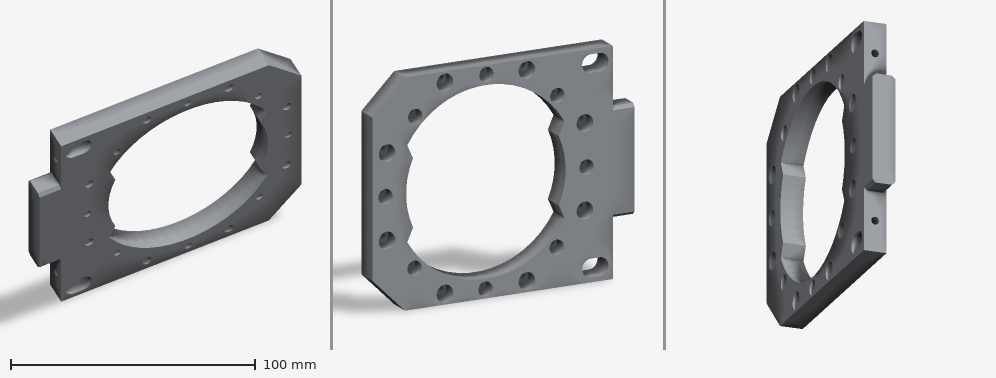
import cadquery as cq
import math

thickness = 10.0
plate_height = 100.0
overall_length = 120.0
tab_length = 10.0
chamfered_end_y = 52.0
corner_chamfer = 15.0

tab_height = 47.6
tab_edge_chamfer = 1.5

bore_radius = 41.5
pad_radius = 36.5
pad_root_half_angle = 30.0
pad_tip_half_angle = 24.0

holes_per_ring = 8
counterbore_depth = 6.0
large_ring_radius = 49.0
large_ring_start = 22.5
large_hole_diameter = 4.1
large_counterbore_diameter = 7.5
small_ring_radius = 46.0
small_ring_start = 0.25
small_hole_diameter = 3.2
small_counterbore_diameter = 6.5

slot_length = 12.0
slot_width = 8.0
slot_y = -50.0
slot_z = 43.8

end_hole_diameter = 3.4
end_hole_depth = 12.0
end_hole_z = 36.5

front_x = -thickness / 2
tab_tip_y = chamfered_end_y - overall_length
tab_root_y = tab_tip_y + tab_length


def front_face():
    """Sketch plane on the -X face: local x is Y and local y is Z."""
    return cq.Workplane("YZ", origin=(front_x, 0, 0))


def polar(radius, angle):
    """Point at an angle in degrees, measured from +Y towards +Z."""
    radians = math.radians(angle)
    return (radius * math.cos(radians), radius * math.sin(radians))


def make_plate():
    plate_length = chamfered_end_y - tab_root_y
    plate = cq.Workplane("XY").box(thickness, plate_length, plate_height)
    plate = plate.translate((0, (chamfered_end_y + tab_root_y) / 2, 0))
    return plate.edges("|X and >Y").chamfer(corner_chamfer)


def make_tab():
    tab = cq.Workplane("XY").box(thickness, tab_length, tab_height)
    tab = tab.edges("|Y").chamfer(tab_edge_chamfer)
    return tab.translate((0, (tab_tip_y + tab_root_y) / 2, 0))


def make_bore():
    root = pad_root_half_angle
    tip = pad_tip_half_angle
    outline = front_face().moveTo(*polar(bore_radius, root))
    for side in (0, 180):
        outline = (
            outline.threePointArc(polar(bore_radius, side + 90), polar(bore_radius, side + 180 - root))
            .lineTo(*polar(pad_radius, side + 180 - tip))
            .threePointArc(polar(pad_radius, side + 180), polar(pad_radius, side + 180 + tip))
            .lineTo(*polar(bore_radius, side + 180 + root))
        )
    return outline.close().extrude(thickness)


def make_hole_ring(ring_radius, start_angle, hole_diameter, counterbore_diameter):
    step = 360 / holes_per_ring
    centers = [polar(ring_radius, start_angle + i * step) for i in range(holes_per_ring)]
    holes = front_face().pushPoints(centers).circle(hole_diameter / 2).extrude(thickness)
    counterbores = (
        front_face().pushPoints(centers).circle(counterbore_diameter / 2).extrude(counterbore_depth)
    )
    return holes.union(counterbores)


def make_slots():
    centers = [(slot_y, slot_z), (slot_y, -slot_z)]
    return front_face().pushPoints(centers).slot2D(slot_length, slot_width).extrude(thickness)


def make_end_holes():
    end_face = cq.Workplane("XZ", origin=(0, tab_root_y, 0))
    centers = [(0, end_hole_z), (0, -end_hole_z)]
    return end_face.pushPoints(centers).circle(end_hole_diameter / 2).extrude(-end_hole_depth)


large_holes = make_hole_ring(
    large_ring_radius, large_ring_start, large_hole_diameter, large_counterbore_diameter
)
small_holes = make_hole_ring(
    small_ring_radius, small_ring_start, small_hole_diameter, small_counterbore_diameter
)

result = (
    make_plate()
    .union(make_tab())
    .cut(make_bore())
    .cut(large_holes)
    .cut(small_holes)
    .cut(make_slots())
    .cut(make_end_holes())
)